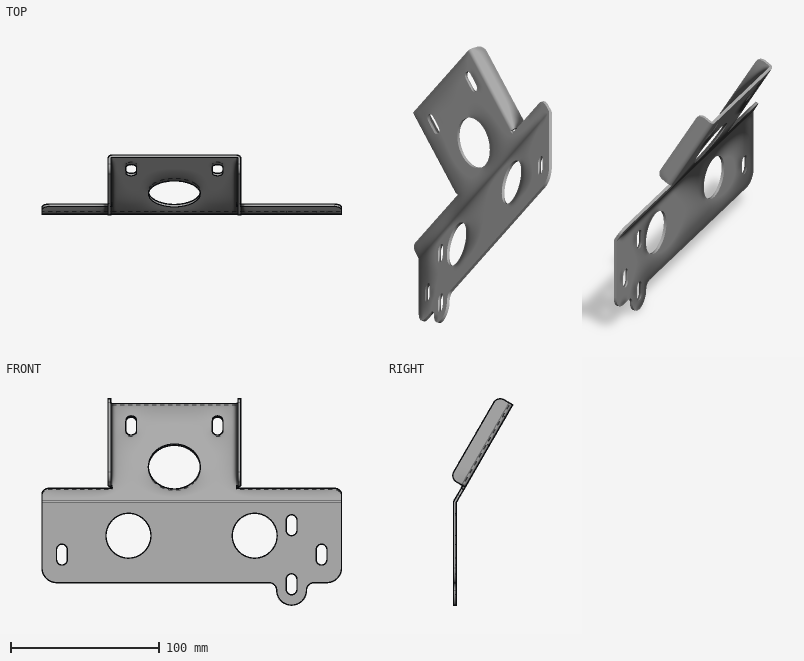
import cadquery as cq
import math

thickness = 2.0
inner_bend_radius = 0.8
outer_bend_radius = inner_bend_radius + thickness

plate_width = 202.0
bend_start_height = 54.0
plate_corner_radius = 10.0
round_hole_diameter = 30.0
round_hole_positions = [(-42.6, 31.7), (42.5, 31.7)]
slot_width = 7.0
slot_length = 14.0
ear_x = 67.3
plate_slot_positions = [(-87.5, 19.0), (87.5, 19.0), (ear_x, 38.8), (ear_x, -1.0)]

ear_radius = 10.0
ear_fillet = 5.0

lean_angle = 30.0
panel_length = 75.8
shoulder_length = 9.7
shoulder_corner_radius = 4.8
tower_x = -11.7
tower_width = 89.7
tower_hole_diameter = 35.0
tower_hole_distance = 26.7
tower_slot_spacing = 58.2
tower_slot_distance = 58.5
tower_slot_length = 15.0

flange_depth = 12.0
flange_start = 11.7
flange_corner_radius = 5.0

lean = math.radians(lean_angle)
bend_end_y = outer_bend_radius * (1 - math.cos(lean))
bend_end_z = bend_start_height + outer_bend_radius * math.sin(lean)
flat_half_width = tower_width / 2 - outer_bend_radius

plate_plane = cq.Plane(origin=(0, 0, 0), xDir=(1, 0, 0), normal=(0, -1, 0))
panel_plane = cq.Plane(
    origin=(0, bend_end_y, bend_end_z),
    xDir=(1, 0, 0),
    normal=(0, -math.cos(lean), math.sin(lean)),
)


def sheet_box(plane, width, bottom, top, center_x=0):
    """Rectangle of sheet lying behind the front face of a frame."""
    return (
        cq.Workplane(plane)
        .center(center_x, (bottom + top) / 2)
        .rect(width, top - bottom)
        .extrude(-thickness)
    )


def round_cut(plane, positions, diameter):
    return cq.Workplane(plane).pushPoints(positions).circle(diameter / 2).extrude(-thickness)


def slot_cut(plane, positions, length):
    return cq.Workplane(plane).pushPoints(positions).slot2D(length, slot_width, 90).extrude(-thickness)


def make_ear():
    """Ear with concave quarter rounds running into the plate's lower edge."""
    fillet_end_x = ear_radius + ear_fillet
    return (
        cq.Workplane(plate_plane)
        .center(ear_x, 0)
        .moveTo(-fillet_end_x, 0)
        .radiusArc((-ear_radius, -ear_fillet), ear_fillet)
        .threePointArc((0, -ear_fillet - ear_radius), (ear_radius, -ear_fillet))
        .radiusArc((fillet_end_x, 0), ear_fillet)
        .close()
        .extrude(-thickness)
    )


def make_plate():
    plate = sheet_box(plate_plane, plate_width, 0, bend_start_height)
    plate = plate.edges("|Y").edges("<Z").fillet(plate_corner_radius)
    plate = plate.union(make_ear())
    plate = plate.cut(round_cut(plate_plane, round_hole_positions, round_hole_diameter))
    return plate.cut(slot_cut(plate_plane, plate_slot_positions, slot_length))


def make_bend():
    """Curved strip between the plate and the leaning panel."""
    axis_offset = outer_bend_radius - thickness / 2
    return (
        cq.Workplane("XY", origin=(0, thickness / 2, bend_start_height))
        .rect(plate_width, thickness)
        .revolve(lean_angle, (2, axis_offset), (0, axis_offset))
    )


def make_panel():
    side_x = plate_width / 2
    corner_x = side_x - shoulder_corner_radius
    corner_y = shoulder_length - shoulder_corner_radius
    shoulder = (
        cq.Workplane(panel_plane)
        .moveTo(-side_x, 0)
        .lineTo(-side_x, corner_y)
        .radiusArc((-corner_x, shoulder_length), shoulder_corner_radius)
        .lineTo(corner_x, shoulder_length)
        .radiusArc((side_x, corner_y), shoulder_corner_radius)
        .lineTo(side_x, 0)
        .close()
        .extrude(-thickness)
    )
    panel = shoulder.union(sheet_box(panel_plane, 2 * flat_half_width, 0, panel_length, tower_x))
    slots = [(tower_x + side * tower_slot_spacing / 2, tower_slot_distance) for side in (-1, 1)]
    panel = panel.cut(round_cut(panel_plane, [(tower_x, tower_hole_distance)], tower_hole_diameter))
    return panel.cut(slot_cut(panel_plane, slots, tower_slot_length))


def make_flange(side):
    """Side flange with its bend; side is -1 for the left and +1 for the right."""
    length = panel_length - flange_start
    base = panel_plane.toWorldCoords((tower_x, flange_start, 0))
    section_plane = cq.Plane(origin=base, xDir=(side, 0, 0), normal=(0, math.sin(lean), math.cos(lean)))
    front = -side
    outer_x = tower_width / 2
    inner_x = outer_x - thickness
    tip = front * (flange_depth - thickness)
    back = -front * thickness
    bend_center = front * inner_bend_radius
    flange = (
        cq.Workplane(section_plane)
        .moveTo(flat_half_width, back)
        .radiusArc((outer_x, bend_center), -front * outer_bend_radius)
        .lineTo(outer_x, tip)
        .lineTo(inner_x, tip)
        .lineTo(inner_x, bend_center)
        .radiusArc((flat_half_width, 0), front * inner_bend_radius)
        .close()
        .extrude(length)
    )
    tip_edges = flange.faces(cq.selectors.DirectionMinMaxSelector(panel_plane.zDir, True)).edges("|X")
    return flange.newObject(tip_edges.vals()).fillet(flange_corner_radius)


result = make_plate().union(make_bend()).union(make_panel())
for side in (-1, 1):
    result = result.union(make_flange(side))